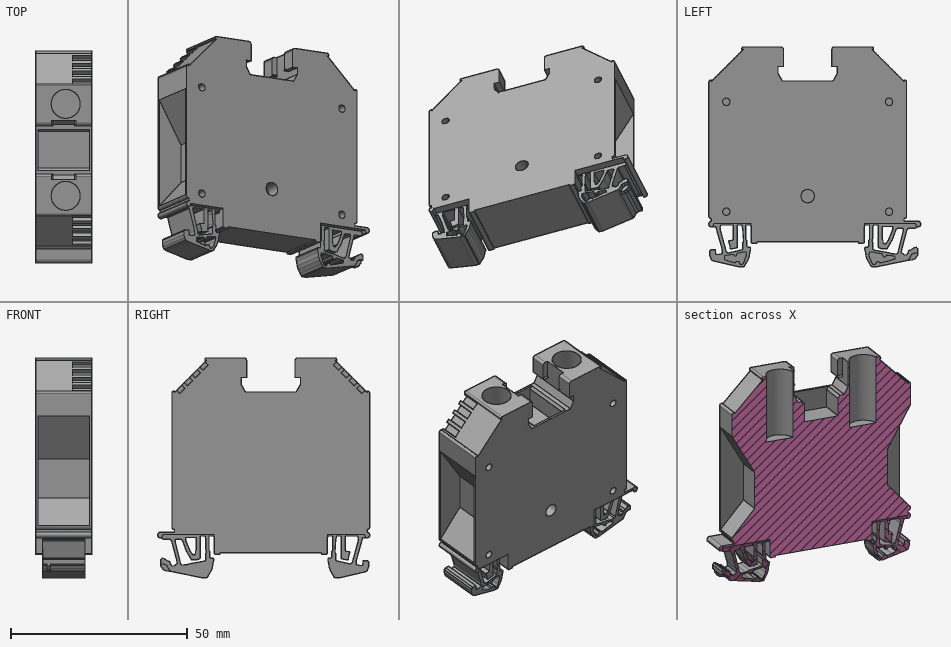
import cadquery as cq
import math


thickness = 15.9
half_length = 28.0
top_z = 62.25
diagonal = math.sqrt(0.5)

tower_inner_y = 6.8
tower_inner_fillet = 0.8
tower_outer_y = 18.65
tower_outer_fillet = 0.5
gap_floor_z = 52.6
gap_floor_half = 7.15
undercut_y = 8.35
undercut_low_z = 54.75
undercut_high_z = 56.65

slope_sum = 79.7
upper_lip_z = 61.5
shoulder_z = 52.9
shoulder_fillet = 0.7
lower_lip_inner_y = half_length - 0.8

wall_bottom_z = 14.4
neck_fillet = 0.7
neck_y = half_length - neck_fillet
neck_z = wall_bottom_z - neck_fillet
bead_radius = 0.85
bead_z = 12.15
rear_bead_y = half_length - bead_radius
front_bead_y = -31.15
flange_top_z = bead_z + bead_radius
seat_z = 12.25
seat_inner_y = 16.0
seat_edge_inset = 0.65
bead_contact = (0.25, 0.81)
keel_z = 7.1
keel_rib_z = 6.65
keel_rib_width = 1.7
keel_rib_chamfer = 0.3

side_wall = 0.65
funnel_depth = 7.15
funnel_low_z = 14.8
funnel_back_low_z = 22.6
funnel_back_high_z = 33.6
funnel_high_z = 45.8

shaft_x = 8.5
shaft_y = 13.0
shaft_diameter = 8.2
shaft_depth = 20.0
notch_left_x = 4.45
notch_right_x = 11.45
notch_chamfer = 0.45
pocket_half_y = 5.2
pocket_depth = 6.2
pocket_lead_y = 0.6
pocket_lead_z = 0.9

groove_count = 4
groove_start_x = 10.4
groove_first_z = 53.05
groove_pitch = 2.2
groove_height = 1.45
groove_drop = 0.9
cut_margin = 1.0

pin_hole_diameter = 2.1
pin_hole_y = 23.0
pin_hole_z = (15.65, 46.7)
pin_hole_depth = 4.0
center_hole_diameter = 3.8
center_hole_z = 20.05
center_hole_depth = 5.0

foot_width = 12.0
foot_x = 2.0
foot_pocket_depth = foot_width / 2
foot_web_z = 11.82
foot_corner = 0.35
lug_x = 3.2
lug_width = 1.05


def prism(points, x_start, x_end):
    """Extrude a closed (y, z) polygon from x_start to x_end."""
    return cq.Workplane("YZ").workplane(offset=x_start).polyline(points).close().extrude(x_end - x_start)


def mirrored(body):
    """A cutter together with its mirror image at the opposite end."""
    return body.union(body.mirror("XZ"))


def arc_corner(sketch, center, radius, direction, end):
    """Add a quarter arc whose middle lies diagonally from its centre in the (y, z) direction."""
    middle = tuple(c + radius * diagonal * d for c, d in zip(center, direction))
    return sketch.threePointArc(middle, end)


def half_top(sketch, side):
    """Continue an outline from the gap floor over one tower to its end wall (side is +1 or -1)."""
    inner_center = (side * (tower_inner_y + tower_inner_fillet), top_z - tower_inner_fillet)
    outer_center = (side * (tower_outer_y - tower_outer_fillet), top_z - tower_outer_fillet)
    shoulder_center = (side * (half_length - shoulder_fillet), shoulder_z - shoulder_fillet)
    outer_end = (side * tower_outer_y, outer_center[1])
    shoulder_end = (side * half_length, shoulder_center[1])
    sketch = sketch.lineTo(side * gap_floor_half, gap_floor_z)
    sketch = sketch.lineTo(side * undercut_y, undercut_low_z)
    sketch = sketch.lineTo(side * undercut_y, undercut_high_z)
    sketch = sketch.lineTo(side * tower_inner_y, undercut_high_z)
    sketch = sketch.lineTo(side * tower_inner_y, inner_center[1])
    sketch = arc_corner(sketch, inner_center, tower_inner_fillet, (-side, 1), (inner_center[0], top_z))
    sketch = sketch.lineTo(outer_center[0], top_z)
    sketch = arc_corner(sketch, outer_center, tower_outer_fillet, (side, 1), outer_end)
    sketch = sketch.lineTo(side * tower_outer_y, upper_lip_z)
    sketch = sketch.lineTo(side * (slope_sum - upper_lip_z), upper_lip_z)
    sketch = sketch.lineTo(side * lower_lip_inner_y, slope_sum - lower_lip_inner_y)
    sketch = sketch.lineTo(side * lower_lip_inner_y, shoulder_z)
    sketch = sketch.lineTo(shoulder_center[0], shoulder_z)
    return arc_corner(sketch, shoulder_center, shoulder_fillet, (side, 1), shoulder_end)


def seat_corners(side, bead_y):
    """The two ends of the seat edge beside a bead: the lower on the bead, the upper on the seat."""
    lower = (bead_y - side * bead_contact[0], bead_z - bead_contact[1])
    upper = (bead_y - side * seat_edge_inset, seat_z)
    return lower, upper


def housing_half(side, bead_y):
    """The half of the housing on one side of Y = 0, without its cuts."""
    neck_center = (side * half_length, wall_bottom_z)
    neck_center = (side * (half_length - neck_fillet), wall_bottom_z)
    lower, upper = seat_corners(side, bead_y)
    rib_outer_y = seat_inner_y - keel_rib_chamfer
    rib_inner_y = seat_inner_y - keel_rib_width
    sketch = cq.Workplane("YZ").moveTo(0, gap_floor_z)
    sketch = half_top(sketch, side)
    sketch = sketch.lineTo(side * half_length, wall_bottom_z)
    sketch = arc_corner(sketch, neck_center, neck_fillet, (side, -1), (side * neck_y, neck_z))
    sketch = sketch.lineTo(side * neck_y, flange_top_z)
    sketch = sketch.lineTo(bead_y, flange_top_z)
    sketch = sketch.threePointArc((bead_y + side * bead_radius, bead_z), lower)
    sketch = sketch.lineTo(*upper)
    sketch = sketch.lineTo(side * seat_inner_y, seat_z)
    sketch = sketch.lineTo(side * seat_inner_y, keel_rib_z + keel_rib_chamfer)
    sketch = sketch.lineTo(side * rib_outer_y, keel_rib_z)
    sketch = sketch.lineTo(side * rib_inner_y, keel_rib_z)
    sketch = sketch.lineTo(side * rib_inner_y, keel_z)
    sketch = sketch.lineTo(0, keel_z)
    return sketch.close().extrude(thickness)


def cable_funnels():
    """Openings in both end walls whose floor and roof taper to a flat back."""
    back_y = half_length - funnel_depth
    points = [
        (half_length, funnel_low_z),
        (back_y, funnel_back_low_z),
        (back_y, funnel_back_high_z),
        (half_length, funnel_high_z),
    ]
    return mirrored(prism(points, side_wall, thickness - side_wall))


def screw_shafts():
    """Blind round shafts down from the tower tops."""
    return (
        cq.Workplane("XY", origin=(0, 0, top_z))
        .pushPoints([(shaft_x, shaft_y), (shaft_x, -shaft_y)])
        .circle(shaft_diameter / 2)
        .extrude(-shaft_depth)
    )


def tool_notches():
    """Slots in the tower overhangs, with their lower side edges drawn in at 45 degrees."""
    shoulder = undercut_high_z + notch_chamfer
    points = [
        (notch_left_x + notch_chamfer, undercut_high_z),
        (notch_right_x - notch_chamfer, undercut_high_z),
        (notch_right_x, shoulder),
        (notch_right_x, top_z),
        (notch_left_x, top_z),
        (notch_left_x, shoulder),
    ]
    slot = cq.Workplane("XZ", origin=(0, undercut_y, 0)).polyline(points).close()
    return mirrored(slot.extrude(undercut_y - tower_inner_y))


def marker_pocket():
    """Pocket in the gap floor, with sloped lead-ins at its two Y ends."""
    rim_y = pocket_half_y + pocket_lead_y
    lead_z = gap_floor_z - pocket_lead_z
    floor_z = gap_floor_z - pocket_depth
    points = [
        (-rim_y, gap_floor_z),
        (-pocket_half_y, lead_z),
        (-pocket_half_y, floor_z),
        (pocket_half_y, floor_z),
        (pocket_half_y, lead_z),
        (rim_y, gap_floor_z),
    ]
    return prism(points, side_wall, thickness - side_wall)


def grip_groove(low_z):
    """One square-sided groove across the +Y shoulder, its lower edge at low_z."""
    high_z = low_z + groove_height
    low_y = slope_sum - low_z
    high_y = slope_sum - high_z
    points = [
        (low_y + cut_margin, low_z + cut_margin),
        (low_y - groove_drop, low_z - groove_drop),
        (high_y - groove_drop, high_z - groove_drop),
        (high_y + cut_margin, high_z + cut_margin),
    ]
    return prism(points, groove_start_x, thickness)


def side_holes():
    """Blind holes in the -X face: four near the corners and a larger one near the bottom."""
    corners = [(y, z) for y in (-pin_hole_y, pin_hole_y) for z in pin_hole_z]
    pins = cq.Workplane("YZ").pushPoints(corners).circle(pin_hole_diameter / 2).extrude(pin_hole_depth)
    center = cq.Workplane("YZ").center(0, center_hole_z).circle(center_hole_diameter / 2)
    return pins.union(center.extrude(center_hole_depth))


def make_housing():
    """The housing with all its openings and grip grooves."""
    body = housing_half(1, rear_bead_y).union(housing_half(-1, front_bead_y))
    body = body.cut(cable_funnels()).cut(screw_shafts()).cut(tool_notches())
    body = body.cut(marker_pocket()).cut(side_holes())
    for i in range(groove_count):
        body = body.cut(mirrored(grip_groove(groove_first_z + i * groove_pitch)))
    return body


def foot_plate_points(side, bead_y):
    """The top of a foot outline, from the housing wall along the seat to the bead."""
    lower, upper = seat_corners(side, bead_y)
    return [
        (side * (seat_inner_y + foot_corner), foot_web_z),
        (side * seat_inner_y, foot_web_z - foot_corner),
        (side * seat_inner_y, seat_z),
        upper,
        lower,
    ]


def inner_leg_points(side):
    """The housing-facing edge shared by both feet, from the toe up to the plate."""
    edge = [
        (18.2, 0.05), (17.9, 0.2), (17.5, 0.95), (16.85, 2.0), (16.5, 3.0), (16.3, 4.3),
        (16.1, 5.0), (16.1, 5.4), (16.3, 5.6), (16.95, 5.6), (17.2, 5.9), (17.2, 7.5),
        (17.45, 7.8), (17.45, foot_web_z),
    ]
    return [(side * y, z) for y, z in edge]


def foot_prism(points):
    """A (y, z) polygon extruded over the full width of a foot."""
    return prism(points, foot_x, foot_x + foot_width)


def foot_pocket(points):
    """A blind pocket cutter in the -X face of a foot."""
    return prism(points, foot_x, foot_x + foot_pocket_depth)


def make_rear_foot():
    """Foot under the +Y end, with an upturned hook and one hanging prong."""
    hook = [
        (26.0, 11.35), (24.2, 5.0), (24.15, 3.85), (25.2, 3.55), (25.95, 3.55), (26.1, 4.95),
        (27.3, 4.95), (27.75, 4.5), (27.75, 3.5), (27.5, 2.6), (27.15, 1.95), (26.5, 1.65),
        (19.3, 0.0),
    ]
    window = [
        (24.45, foot_web_z), (24.75, 11.4), (24.65, 10.4), (23.2, 5.1), (22.95, 4.3), (22.6, 4.0),
        (22.3, 4.05), (18.9, 4.8), (18.4, 5.0), (18.4, 6.9), (18.2, 7.2), (18.2, 8.0),
        (18.4, 10.9), (18.6, foot_web_z), (19.9, foot_web_z), (19.9, 5.45), (20.9, 5.2),
        (21.8, 5.1), (22.0, 5.3), (22.0, 6.0), (22.45, 7.4), (21.1, 7.65), (21.05, foot_web_z),
    ]
    pocket = [
        (23.3, 3.3), (22.2, 3.4), (21.7, 3.55), (20.95, 3.5), (20.7, 3.1), (20.2, 3.1),
        (19.95, 3.9), (18.4, 4.2), (17.5, 4.2), (17.25, 3.9), (17.5, 2.9), (18.0, 1.4),
        (18.5, 0.7), (19.1, 0.7), (19.4, 1.5), (20.2, 1.55), (20.5, 1.2), (22.0, 1.55),
        (23.4, 2.05), (23.5, 2.3), (23.5, 3.1),
    ]
    outline = foot_plate_points(1, rear_bead_y) + hook + inner_leg_points(1)
    return foot_prism(outline).cut(foot_prism(window)).cut(foot_pocket(pocket))


def make_front_foot():
    """Foot under the -Y end, with a closed V-shaped prong and a lug below its hook."""
    hook = [
        (-30.9, 11.2), (-30.3, 10.95), (-28.4, 10.9), (-28.1, 10.5), (-26.7, 5.3), (-26.5, 4.1),
        (-27.0, 3.7), (-27.5, 3.4), (-28.0, 3.4), (-28.4, 4.1), (-28.5, 4.65), (-29.2, 4.85),
        (-30.2, 5.55), (-30.7, 5.6), (-31.15, 5.2), (-31.15, 3.95), (-30.1, 3.95), (-29.35, 3.5),
        (-28.95, 2.7), (-28.5, 1.95), (-28.0, 1.8), (-19.3, 0.0),
    ]
    lug = [
        (-31.15, 4.5), (-31.15, 3.4), (-30.4, 2.35), (-29.7, 2.0), (-28.4, 1.88), (-28.5, 4.2),
    ]
    window = [
        (-18.6, foot_web_z), (-18.4, 10.9), (-18.4, 8.0), (-18.2, 7.5), (-18.4, 6.9), (-18.4, 5.0),
        (-19.0, 4.75), (-22.5, 4.15), (-23.7, 3.8), (-25.2, 3.7), (-25.5, 4.1), (-27.05, 10.5),
        (-26.9, 10.9), (-25.3, 10.9), (-24.95, 10.5), (-24.0, 7.8), (-22.5, 5.2), (-22.3, 5.1),
        (-21.0, 5.1), (-20.1, 5.4), (-19.95, 5.6), (-19.95, foot_web_z),
    ]
    prong_eye = [
        (-21.1, 11.4), (-24.0, 11.4), (-24.0, 10.5), (-22.7, 7.4), (-22.0, 6.6), (-21.5, 6.6),
        (-21.3, 7.0), (-21.3, 7.7), (-21.1, 7.9),
    ]
    pocket = [
        (-17.25, 3.5), (-17.5, 4.2), (-18.8, 4.2), (-19.3, 4.0), (-20.9, 3.8), (-21.2, 3.2),
        (-21.5, 2.9), (-22.0, 2.9), (-22.3, 3.35), (-24.5, 3.1), (-24.7, 2.8), (-24.7, 2.3),
        (-22.5, 1.6), (-20.5, 1.15), (-20.0, 1.55), (-19.6, 1.5), (-19.1, 0.7), (-18.5, 0.7),
        (-18.1, 1.3), (-17.5, 2.6),
    ]
    outline = foot_plate_points(-1, front_bead_y) + hook + inner_leg_points(-1)
    body = foot_prism(outline).cut(foot_prism(window)).cut(foot_prism(prong_eye))
    return body.union(prism(lug, lug_x, lug_x + lug_width)).cut(foot_pocket(pocket))


housing = make_housing()
rear_foot = make_rear_foot()
front_foot = make_front_foot()
result = cq.Compound.makeCompound([housing.val(), rear_foot.val(), front_foot.val()])